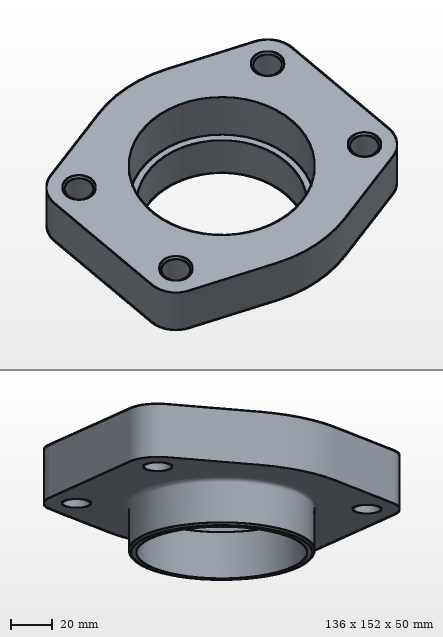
import cadquery as cq
import math

length = 152.0
width = 136.0
flange_thickness = 26.8
total_height = 50.0

bolt_x = 35.0
bolt_y = 60.3
bolt_diameter = 13.8
bolt_chamfer = 1.0
bolt_countersink_angle = 90

spigot_diameter = 88.9
spigot_chamfer = 1.0
neck_fillet = 2.0
socket_diameter = 89.0
socket_depth = flange_thickness
bore_diameter = 81.8

spigot_length = total_height - flange_thickness
side_radius = width / 2
corner_radius = length / 2 - bolt_y


def flange_outline():
    """Outline of straight runs tangent to the side arcs and the corner arcs."""
    center_distance = math.hypot(bolt_x, bolt_y)
    normal_angle = math.atan2(bolt_y, bolt_x) - math.acos((side_radius - corner_radius) / center_distance)
    side_x = side_radius * math.cos(normal_angle)
    side_y = side_radius * math.sin(normal_angle)
    corner_x = bolt_x + corner_radius * math.cos(normal_angle)
    corner_y = bolt_y + corner_radius * math.sin(normal_angle)
    middle_angle = (normal_angle + math.pi / 2) / 2
    middle_x = bolt_x + corner_radius * math.cos(middle_angle)
    middle_y = bolt_y + corner_radius * math.sin(middle_angle)
    end_y = length / 2
    return (
        cq.Workplane("XY")
        .moveTo(side_x, -side_y)
        .threePointArc((side_radius, 0), (side_x, side_y))
        .lineTo(corner_x, corner_y)
        .threePointArc((middle_x, middle_y), (bolt_x, end_y))
        .lineTo(-bolt_x, end_y)
        .threePointArc((-middle_x, middle_y), (-corner_x, corner_y))
        .lineTo(-side_x, side_y)
        .threePointArc((-side_radius, 0), (-side_x, -side_y))
        .lineTo(-corner_x, -corner_y)
        .threePointArc((-middle_x, -middle_y), (-bolt_x, -end_y))
        .lineTo(bolt_x, -end_y)
        .threePointArc((middle_x, -middle_y), (corner_x, -corner_y))
        .close()
    )


def spigot():
    """Revolved spigot with a chamfered lower rim and a filleted neck."""
    radius = spigot_diameter / 2
    fillet_offset = neck_fillet * (1 - math.sqrt(0.5))
    return (
        cq.Workplane("XZ")
        .moveTo(0, -spigot_length)
        .lineTo(radius - spigot_chamfer, -spigot_length)
        .lineTo(radius, -spigot_length + spigot_chamfer)
        .lineTo(radius, -neck_fillet)
        .threePointArc((radius + fillet_offset, -fillet_offset), (radius + neck_fillet, 0))
        .lineTo(0, 0)
        .close()
        .revolve(360, (0, 0, 0), (0, 1, 0))
    )


body = flange_outline().extrude(flange_thickness).union(spigot())

body = (
    body.faces(">Z").workplane(origin=(0, 0, flange_thickness))
    .cboreHole(bore_diameter, socket_diameter, socket_depth)
)

result = (
    body.faces(">Z").workplane(origin=(0, 0, flange_thickness))
    .rect(2 * bolt_x, 2 * bolt_y, forConstruction=True)
    .vertices()
    .cskHole(bolt_diameter, bolt_diameter + 2 * bolt_chamfer, bolt_countersink_angle)
)